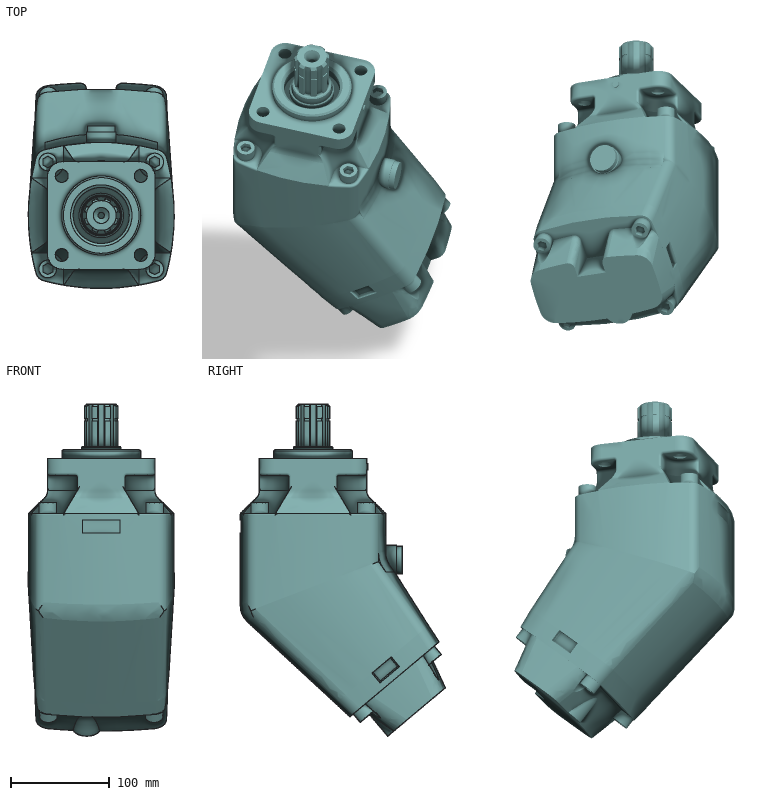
import cadquery as cq
import math


TILT = 40.0
KNEE_Z = -130.2
MITRE_TILT = 21.0
KNEE_FRONT_R = 23.5
KNEE_BACK_R = 27.0
KNEE_BACK_HALF_W = 57.2

SHAFT_TOP_Z = 55.0
SPLINE_D = 35.0
SPLINE_ROOT_D = 30.0
SPLINE_TEETH = 8
SPLINE_TOOTH_W = 6.0
SHAFT_CHAMFER = 2.5
SHAFT_GROOVE_D = 33.3
SHAFT_GROOVE_Z = 38.0
SHAFT_GROOVE_H = 2.5
COLLAR_D = 40.0
COLLAR_TOP_Z = 12.0
COLLAR_CHAMFER = 1.0
CENTRE_CONE_D = 16.0
CENTRE_CONE_DEPTH = 8.5
CENTRE_DRILL_D = 6.5
CENTRE_DRILL_DEPTH = 20.2

PILOT_D = 80.0
PILOT_H = 9.0
PILOT_CHAMFER = 1.7
SEAL_BORE_D = 57.0
SEAL_BORE_FLOOR_Z = -2.7
SEAL_BORE_CHAMFER = 2.7
SEAL_OUTER_D = 45.0
SEAL_INNER_D = 41.7
SEAL_TOP_Z = 4.0

FLANGE_HALF = 54.5
FLANGE_H = 17.0
FLANGE_CORNER_R = 15.0
FLANGE_HOLE_D = 13.0
FLANGE_HOLE_POS = 40.0
FLANGE_PIN_D = 6.5
FLANGE_PIN_Z = -8.5
FLANGE_PIN_H = 1.5
NECK_FOOT_Z = -36.7
NECK_FOOT_R = 9.8
ARM_HALF = 24.2
ARM_FOOT_HALF = 38.0
ARM_FLARE_Z = -32.5
ARM_EDGE_R = 2.5
POCKET_R = 15.0
POCKET_CEILING_R = 2.5

HOUSING_TOP_Z = -56.0
HOUSING_HALF = 74.0
HOUSING_BOW_R = 286.0
HOUSING_CORNER_R = 11.5
HOUSING_RIM_R = 1.7
LABEL_W = 38.0
LABEL_H = 12.8
LABEL_Z = -69.0
LABEL_DEPTH = 1.0

PLUG_Z = -103.0
PLUG_D = 30.0
PLUG_SHOULDER_Y = 84.8
PLUG_TIP_D = 28.0
PLUG_TIP_Y = 90.5

CAP_JOINT_W = 105.5
CAP_FACE_W = 125.0
CAP_END_W = 164.5
CAP_JOINT_HALF_X = 69.0
CAP_JOINT_HALF_Y = 62.0
CAP_HALF_X = 67.5
CAP_HALF_Y = 59.5
CAP_OFFSET_Y = 3.0
CAP_BOW_R = 404.0
CAP_CORNER_R = 11.0
BLOCK_BASE = (-42.5, 48.5)
BLOCK_END = (-31.3, 37.7)
BLOCK_END_HALF_X = 66.5
BLOCK_CORNER_R = 15.0
BACK_CHANNEL_HALF = 15.0
BACK_CHANNEL_FLOOR = 20.2
BACK_CHANNEL_EDGE_R = 6.7
LOBE_D = 30.0
LOBE_X = -14.8
LOBE_FRONT = -39.5
PRY_SLOT_Y = (-10.5, 15.0)
PRY_SLOT_LENGTH = 12.8
PRY_SLOT_DEPTH = 4.0
PRY_SLOT_CHAMFER = 1.5

BOLT_HEAD_D = 18.0
BOLT_HEAD_H = 11.0
BOLT_SOCKET_FLATS = 10.0
BOLT_SOCKET_DEPTH = 6.0
BOLT_POCKET_D = 20.0
COVER_BOLT_POS = 54.2
CAP_BOLT_X = 53.5
CAP_BOLT_Y = 44.8
CAP_BOLT_OFFSET_Y = 2.0

FAR = 202.0
TOUCH = 0.5
CORNERS = [(1, 1), (-1, 1), (-1, -1), (1, -1)]


def bowed_wire(half_x, half_y, z, bow_r, corner_r, centre_y=0.0):
    """Rounded rectangle whose four sides bulge outwards with radius bow_r (corner_r 0: sharp)."""
    corner_x = half_x - half_y ** 2 / (2 * bow_r)
    corner_y = half_y - half_x ** 2 / (2 * bow_r)
    outline = (
        cq.Workplane("XY", origin=(0, centre_y, z))
        .moveTo(corner_x, -corner_y)
        .threePointArc((half_x, 0), (corner_x, corner_y))
        .threePointArc((0, half_y), (-corner_x, corner_y))
        .threePointArc((-half_x, 0), (-corner_x, -corner_y))
        .threePointArc((0, -half_y), (corner_x, -corner_y))
        .close()
        .val()
    )
    if corner_r == 0:
        return outline
    return outline.fillet2D(corner_r, outline.Vertices())


def rounded_square_wire(half, z, corner_r):
    outline = cq.Workplane("XY", origin=(0, 0, z)).rect(2 * half, 2 * half).val()
    return outline.fillet2D(corner_r, outline.Vertices())


def loft(*wires):
    return cq.Workplane(obj=cq.Solid.makeLoft(list(wires), True))


def disc(diameter, bottom, top):
    return cq.Workplane("XY", origin=(0, 0, bottom)).circle(diameter / 2).extrude(top - bottom)


def block(x_range, y_range, z_range):
    """Box between the given low and high limits on each axis."""
    low, high = zip(x_range, y_range, z_range)
    size = [b - a for a, b in zip(low, high)]
    return cq.Workplane("XY").box(*size, centered=False).translate(low)


def tilted(item):
    """Move a shape or wire from the tilted housing frame to the part frame."""
    return item.rotate(cq.Vector(0, 0, 0), cq.Vector(1, 0, 0), TILT).translate(cq.Vector(0, 0, KNEE_Z))


def bolt_head():
    """Socket head standing on z = 0."""
    socket_corners = BOLT_SOCKET_FLATS / math.cos(math.pi / 6)
    head = disc(BOLT_HEAD_D, 0, BOLT_HEAD_H)
    socket = (
        cq.Workplane("XY", origin=(0, 0, BOLT_HEAD_H - BOLT_SOCKET_DEPTH))
        .polygon(6, socket_corners)
        .extrude(BOLT_SOCKET_DEPTH)
        .rotate((0, 0, 0), (0, 0, 1), 30)
    )
    return head.cut(socket)


def corner_pocket():
    """Clearance for one cover bolt: straight beside the arms, flaring towards the housing."""
    def section(edge, z):
        outline = cq.Workplane("XY", origin=(0, 0, z)).rect(FAR, FAR, centered=False).val()
        outline = outline.translate(cq.Vector(edge, edge, 0))
        inner = min(outline.Vertices(), key=lambda v: v.X + v.Y)
        return outline.fillet2D(POCKET_R, [inner])

    straight = loft(section(ARM_HALF, ARM_FLARE_Z), section(ARM_HALF, -FLANGE_H))
    at_ceiling = cq.selectors.BoxSelector(
        (0, 0, -FLANGE_H - TOUCH), (FAR / 2, FAR / 2, -FLANGE_H + TOUCH)
    )
    straight = straight.edges(at_ceiling).fillet(POCKET_CEILING_R)
    flared = loft(section(ARM_FOOT_HALF, HOUSING_TOP_Z), section(ARM_HALF, ARM_FLARE_Z))
    return straight.union(flared)


def is_arm_edge(edge):
    """True for the upright outer edges of the neck arms."""
    middle = edge.Center()
    near, far = sorted([abs(middle.x), abs(middle.y)])
    return abs(near - ARM_HALF) < TOUCH and abs(far - FLANGE_HALF) < TOUCH


def front_cover():
    """Flange, cross-shaped neck and sloping shoulders."""
    neck_h = -NECK_FOOT_Z
    neck = cq.Workplane("XY", origin=(0, 0, NECK_FOOT_Z)).rect(2 * FLANGE_HALF, 2 * FLANGE_HALF)
    neck = neck.extrude(neck_h).edges("|Z").fillet(FLANGE_CORNER_R)
    shoulders = loft(
        bowed_wire(HOUSING_HALF, HOUSING_HALF, HOUSING_TOP_Z, HOUSING_BOW_R, HOUSING_CORNER_R),
        rounded_square_wire(FLANGE_HALF, NECK_FOOT_Z, FLANGE_CORNER_R),
    )
    cover = neck.union(shoulders)
    for quarter in range(4):
        cover = cover.cut(corner_pocket().rotate((0, 0, 0), (0, 0, 1), 90 * quarter))
    at_foot = cq.selectors.BoxSelector(
        (-FAR, -FAR, NECK_FOOT_Z - TOUCH), (FAR, FAR, NECK_FOOT_Z + TOUCH)
    )
    cover = cover.edges(at_foot).fillet(NECK_FOOT_R)
    arm_edges = [edge for edge in cover.edges("|Z").vals() if is_arm_edge(edge)]
    cover = cover.newObject(arm_edges).fillet(ARM_EDGE_R)
    holes = (
        cq.Workplane("XY")
        .pushPoints([(sx * FLANGE_HOLE_POS, sy * FLANGE_HOLE_POS) for sx, sy in CORNERS])
        .circle(FLANGE_HOLE_D / 2)
        .extrude(-FLANGE_H)
    )
    pin = cq.Workplane("XZ", origin=(0, FLANGE_HALF, FLANGE_PIN_Z)).circle(FLANGE_PIN_D / 2)
    return cover.cut(holes).union(pin.extrude(-FLANGE_PIN_H))


def plain_housing(upright_corner_r, tilted_corner_r):
    """Upright housing joined at the mitre plane to the tapering tilted housing and its cap."""
    def tilted_section(half_x, half_y, w):
        return tilted(bowed_wire(half_x, half_y, -w, CAP_BOW_R, tilted_corner_r, CAP_OFFSET_Y))

    top = bowed_wire(HOUSING_HALF, HOUSING_HALF, HOUSING_TOP_Z, HOUSING_BOW_R, upright_corner_r)
    upright = cq.Workplane(obj=cq.Solid.extrudeLinear(top, [], cq.Vector(0, 0, -FAR)))
    below_mitre = (
        block((-FAR, FAR), (-FAR, FAR), (-2 * FAR, 0))
        .rotate((0, 0, 0), (1, 0, 0), MITRE_TILT)
        .translate((0, 0, KNEE_Z))
    )
    upright = upright.cut(below_mitre)
    mitre = upright.faces("<Z").val().outerWire()
    joint = tilted_section(CAP_JOINT_HALF_X, CAP_JOINT_HALF_Y, CAP_JOINT_W)
    cap_face = tilted_section(CAP_HALF_X, CAP_HALF_Y, CAP_FACE_W)
    return upright.union(loft(mitre, joint)).union(loft(joint, cap_face))


def housing():
    """Housing with rounded corners and a rounded knee at front and back."""
    rounded = plain_housing(HOUSING_CORNER_R, CAP_CORNER_R)
    sharp = plain_housing(0, 0)
    mitre_drop = HOUSING_HALF * math.tan(math.radians(MITRE_TILT))

    def knee_edge(side):
        middle = (0, side * HOUSING_HALF, KNEE_Z + side * mitre_drop)
        return sharp.edges(cq.selectors.NearestToPointSelector(middle))

    front_waste = sharp.cut(knee_edge(-1).fillet(KNEE_FRONT_R))
    back_z = KNEE_Z + mitre_drop
    back_zone = block(
        (-KNEE_BACK_HALF_W, KNEE_BACK_HALF_W),
        (0, FAR),
        (back_z - KNEE_BACK_R / 2, back_z + KNEE_BACK_R / 2),
    )
    back_fill = knee_edge(1).fillet(KNEE_BACK_R).intersect(back_zone)
    return rounded.cut(front_waste).union(back_fill)


def is_channel_edge(edge):
    """True for the outer edges that run along the back channel."""
    middle = edge.Center()
    runs_down = abs(edge.tangentAt(0.5).z) > 0.5
    at_wall = abs(abs(middle.x) - BACK_CHANNEL_HALF) < TOUCH
    return runs_down and at_wall and middle.y > BACK_CHANNEL_FLOOR + TOUCH


def port_block():
    """Tapered block on the cap face, in the tilted frame."""
    def section(faces, half_x, z):
        front, back = faces
        centre = (front + back) / 2
        return bowed_wire(half_x, back - centre, z, CAP_BOW_R, BLOCK_CORNER_R, centre)

    ports = loft(
        section(BLOCK_BASE, CAP_HALF_X, -CAP_FACE_W),
        section(BLOCK_END, BLOCK_END_HALF_X, -CAP_END_W),
    )
    channel = block(
        (-BACK_CHANNEL_HALF, BACK_CHANNEL_HALF), (BACK_CHANNEL_FLOOR, FAR), (-CAP_END_W, -CAP_FACE_W)
    )
    lobe = disc(LOBE_D, -CAP_END_W, -CAP_FACE_W).translate((LOBE_X, LOBE_FRONT + LOBE_D / 2, 0))
    ports = ports.cut(channel)
    channel_edges = [edge for edge in ports.edges().vals() if is_channel_edge(edge)]
    return ports.newObject(channel_edges).fillet(BACK_CHANNEL_EDGE_R).union(lobe)


def pry_slots():
    """Pockets at the cap joint on both flanks, in the tilted frame."""
    floor_x = CAP_HALF_X - PRY_SLOT_DEPTH
    slot = block((floor_x, FAR), PRY_SLOT_Y, (-CAP_JOINT_W - PRY_SLOT_LENGTH, -CAP_JOINT_W))
    slot = slot.edges("<X and (not >Z)").chamfer(PRY_SLOT_CHAMFER)
    return slot.union(slot.mirror("YZ"))


def breather_plug():
    stem = cq.Workplane("XZ", origin=(0, 0, PLUG_Z)).circle(PLUG_D / 2).extrude(-PLUG_SHOULDER_Y)
    tip = cq.Workplane("XZ", origin=(0, 0, PLUG_Z)).circle(PLUG_TIP_D / 2).extrude(-PLUG_TIP_Y)
    return stem.union(tip)


def pilot():
    return disc(PILOT_D, 0, PILOT_H).faces(">Z").edges().chamfer(PILOT_CHAMFER)


def seal_recess():
    bore = disc(SEAL_BORE_D, SEAL_BORE_FLOOR_Z, PILOT_H)
    mouth = (
        cq.Workplane("XY", origin=(0, 0, PILOT_H))
        .circle(SEAL_BORE_D / 2 + SEAL_BORE_CHAMFER)
        .workplane(offset=-SEAL_BORE_CHAMFER)
        .circle(SEAL_BORE_D / 2)
        .loft()
    )
    lip = disc(SEAL_OUTER_D, SEAL_BORE_FLOOR_Z, SEAL_TOP_Z)
    lip = lip.cut(disc(SEAL_INNER_D, SEAL_BORE_FLOOR_Z, SEAL_TOP_Z))
    return bore.union(mouth).cut(lip)


def shaft():
    collar = disc(COLLAR_D, SEAL_BORE_FLOOR_Z, COLLAR_TOP_Z).faces(">Z").edges().chamfer(COLLAR_CHAMFER)
    core = disc(SPLINE_ROOT_D, COLLAR_TOP_Z, SHAFT_TOP_Z)
    half_tooth = SPLINE_TOOTH_W / 2
    pitch = 360 / SPLINE_TEETH
    for tooth in range(SPLINE_TEETH):
        bar = block((0, SPLINE_D), (-half_tooth, half_tooth), (COLLAR_TOP_Z, SHAFT_TOP_Z))
        core = core.union(bar.rotate((0, 0, 0), (0, 0, 1), (tooth + 0.5) * pitch))
    envelope = disc(SPLINE_D, COLLAR_TOP_Z, SHAFT_TOP_Z).faces(">Z").edges().chamfer(SHAFT_CHAMFER)
    groove_top = SHAFT_GROOVE_Z + SHAFT_GROOVE_H
    groove = disc(SPLINE_D, SHAFT_GROOVE_Z, groove_top)
    groove = groove.cut(disc(SHAFT_GROOVE_D, SHAFT_GROOVE_Z, groove_top))
    drill = disc(CENTRE_DRILL_D, SHAFT_TOP_Z - CENTRE_DRILL_DEPTH, SHAFT_TOP_Z)
    cone_bottom = cq.Vector(0, 0, SHAFT_TOP_Z - CENTRE_CONE_DEPTH)
    cone = cq.Solid.makeCone(CENTRE_DRILL_D / 2, CENTRE_CONE_D / 2, CENTRE_CONE_DEPTH, cone_bottom)
    centre = drill.union(cq.Workplane(obj=cone))
    return collar.union(core.intersect(envelope).cut(groove)).cut(centre)


def end_cap_details():
    """Port block with its bolts and their clearances, in the tilted frame."""
    details = port_block()
    for sx, sy in CORNERS:
        place = (sx * CAP_BOLT_X, sy * CAP_BOLT_Y + CAP_BOLT_OFFSET_Y, -CAP_FACE_W)
        clearance = disc(BOLT_POCKET_D, -FAR, 0).translate(place)
        bolt = bolt_head().rotate((0, 0, 0), (1, 0, 0), 180).translate(place)
        details = details.cut(clearance).union(bolt)
    return details


def label_recess():
    front = -HOUSING_HALF
    return block(
        (-LABEL_W / 2, LABEL_W / 2),
        (front, front + LABEL_DEPTH),
        (LABEL_Z - LABEL_H / 2, LABEL_Z + LABEL_H / 2),
    )


def is_rim_edge(edge):
    """True for the outer edges of the four bolt seats on the housing top."""
    middle = edge.Center()
    near, far = sorted([abs(middle.x), abs(middle.y)])
    at_top = abs(middle.z - HOUSING_TOP_Z) < TOUCH
    return at_top and near > ARM_FOOT_HALF and far > COVER_BOLT_POS


body = housing().union(front_cover())
rim = [edge for edge in body.edges("%CIRCLE").vals() if is_rim_edge(edge)]
body = body.newObject(rim).fillet(HOUSING_RIM_R)

recesses = [seal_recess(), label_recess(), tilted(pry_slots())]
additions = [pilot().cut(seal_recess()), shaft(), breather_plug(), tilted(end_cap_details())]
for sx, sy in CORNERS:
    additions.append(bolt_head().translate((sx * COVER_BOLT_POS, sy * COVER_BOLT_POS, HOUSING_TOP_Z)))

solid = body.val().cut(*[recess.val() for recess in recesses])
solid = solid.fuse(*[addition.val() for addition in additions])
result = cq.Workplane(obj=solid.clean())